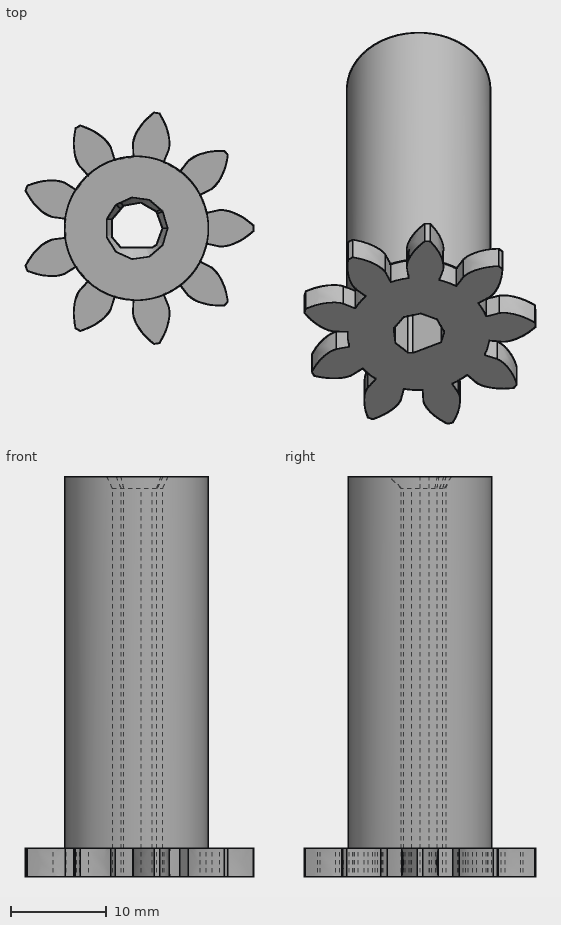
import cadquery as cq
import math

total_height = 41.71
shaft_radius = 7.5

tooth_count = 9
module = 2.22
pressure_angle = math.radians(28)
gear_thickness = 3.0
root_clearance = 0.36

pitch_radius = module * tooth_count / 2
base_radius = pitch_radius * math.cos(pressure_angle)
outer_radius = pitch_radius + module
root_radius = pitch_radius - module - root_clearance

bore_radius = 2.7
bore_sides = 9
bore_flat_offset = 2.0
mouth_radius = 3.25
mouth_sides = 11
mouth_depth = 1.2


def involute_angle(radius):
    """Angle swept by the involute between the base circle and the given radius."""
    roll = math.sqrt((radius / base_radius) ** 2 - 1)
    return roll - math.atan(roll)


tooth_half_angle = math.pi / (2 * tooth_count) + involute_angle(pitch_radius)


def polar(radius, angle):
    return (radius * math.cos(angle), radius * math.sin(angle))


def involute_flank(side, steps=6):
    """Points from the base circle to the tip; side is +1 or -1 about the tooth centre line."""
    radii = [base_radius + (outer_radius - base_radius) * i / steps for i in range(steps + 1)]
    return [polar(r, side * (tooth_half_angle - involute_angle(r))) for r in radii]


def make_tooth():
    """One tooth pointing along +X: radial sides up to the base circle, then involute flanks."""
    lower = involute_flank(-1)
    upper = involute_flank(1)
    return (
        cq.Workplane("XY")
        .moveTo(0, 0)
        .lineTo(*lower[0])
        .spline(lower[1:], includeCurrent=True)
        .lineTo(*upper[-1])
        .spline(upper[-2::-1], includeCurrent=True)
        .close()
        .extrude(gear_thickness)
    )


def make_gear():
    gear = cq.Workplane("XY").circle(root_radius).extrude(gear_thickness)
    tooth = make_tooth()
    for i in range(tooth_count):
        gear = gear.union(tooth.rotate((0, 0, 0), (0, 0, 1), i * 360 / tooth_count))
    return gear


def make_shaft():
    return (
        cq.Workplane("XY")
        .workplane(offset=gear_thickness)
        .circle(shaft_radius)
        .extrude(total_height - gear_thickness)
    )


def polygon_points(radius, sides):
    return [polar(radius, 2 * math.pi * i / sides) for i in range(sides)]


def bore_outline():
    """Corners of the bore polygon with everything beyond the flat cut away."""
    corners = polygon_points(bore_radius, bore_sides)
    outline = []
    for (x0, y0), (x1, y1) in zip(corners, corners[1:] + corners[:1]):
        if y0 > -bore_flat_offset:
            outline.append((x0, y0))
        if (y0 > -bore_flat_offset) != (y1 > -bore_flat_offset):
            fraction = (-bore_flat_offset - y0) / (y1 - y0)
            outline.append((x0 + fraction * (x1 - x0), -bore_flat_offset))
    return outline


def make_bore():
    return cq.Workplane("XY").polyline(bore_outline()).close().extrude(total_height)


def make_mouth():
    """Flare blending the D-shaped bore into the wider polygon at the top face."""
    return (
        cq.Workplane("XY")
        .workplane(offset=total_height - mouth_depth)
        .polyline(bore_outline())
        .close()
        .workplane(offset=mouth_depth)
        .polyline(polygon_points(mouth_radius, mouth_sides))
        .close()
        .loft(ruled=True)
    )


result = make_gear().union(make_shaft()).cut(make_bore()).cut(make_mouth())